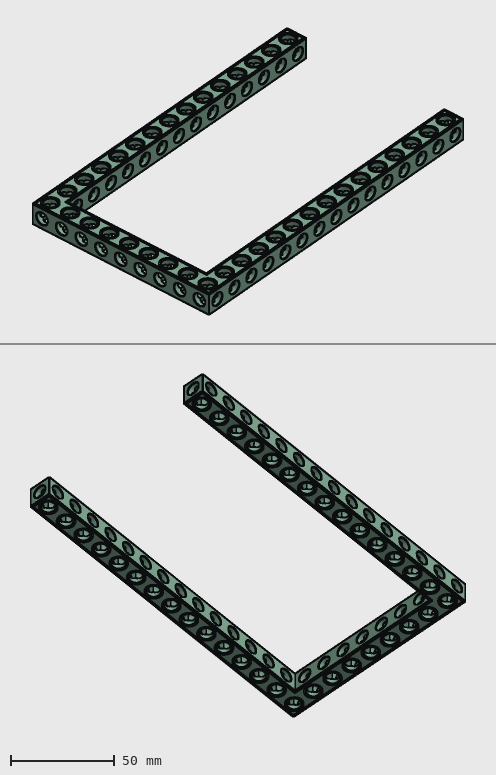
import cadquery as cq


length = 187.5
row_count = 15
column_count = 9
pitch = length / row_count
width = column_count * pitch
hole_diameter = 7.0
edge_chamfer = 0.32
recess_depth = 0.2
rim_width = 1.1
collar_diameter = 9.2

column_places = [(column + 0.5) * pitch for column in range(column_count)]
row_places = [(row + 0.5) * pitch for row in range(row_count)]
arm_places = [column_places[0], column_places[-1]]
base_place = row_places[0]
middle_of_beam = pitch / 2
upright_places = [(x, base_place) for x in column_places]
upright_places += [(x, y) for x in arm_places for y in row_places[1:]]


def u_frame(inset, bottom, height):
    """U-shaped plate, open toward +Y, with all its sides moved inward by the inset."""
    inner = pitch - inset
    outline = [
        (inset, inset),
        (width - inset, inset),
        (width - inset, length - inset),
        (width - inner, length - inset),
        (width - inner, inner),
        (inner, inner),
        (inner, length - inset),
        (inset, length - inset),
    ]
    return cq.Workplane("XY", origin=(0, 0, bottom)).polyline(outline).close().extrude(height)


def face_recess(bottom):
    """Shallow recess of one flat face, leaving a rim and a round collar at every hole."""
    collars = (
        cq.Workplane("XY", origin=(0, 0, bottom))
        .pushPoints(upright_places)
        .circle(collar_diameter / 2)
        .extrude(recess_depth)
    )
    return u_frame(rim_width, bottom, recess_depth).cut(collars)


def chamfered_hole_cutter(depth):
    """Cutter along +Z for a through hole with both of its mouths chamfered."""
    radius = hole_diameter / 2
    mouth_radius = radius + edge_chamfer
    profile = [
        (0, 0),
        (mouth_radius, 0),
        (radius, edge_chamfer),
        (radius, depth - edge_chamfer),
        (mouth_radius, depth),
        (0, depth),
    ]
    return cq.Workplane("XZ").polyline(profile).close().revolve(360, (0, 0, 0), (0, 1, 0))


def turned_to_x(cutter):
    """The cutter, turned from +Z to +X."""
    return cutter.rotate((0, 0, 0), (0, 1, 0), 90)


def turned_to_y(cutter):
    """The cutter, turned from +Z to +Y."""
    return cutter.rotate((0, 0, 0), (1, 0, 0), -90)


def drill(body, cutter, places):
    """Cut one copy of the cutter at each of the places."""
    copies = [cutter.val().moved(cq.Location(cq.Vector(*place))) for place in places]
    return body.cut(cq.Workplane(cq.Compound.makeCompound(copies)))


inner_corners = cq.selectors.BoxSelector(
    (middle_of_beam, middle_of_beam, 0),
    (width - middle_of_beam, pitch + middle_of_beam, pitch),
)
upright_edges = cq.selectors.ParallelDirSelector(cq.Vector(0, 0, 1))
body = u_frame(0, 0, pitch)
body = body.edges(upright_edges - inner_corners).chamfer(edge_chamfer)
body = body.faces("<Z or >Z").chamfer(edge_chamfer)

for recess_bottom in (0, pitch - recess_depth):
    body = body.cut(face_recess(recess_bottom))

short_cutter = chamfered_hole_cutter(pitch)
body = drill(body, short_cutter, [(x, y, 0) for x, y in upright_places])

arm_sides = [0, width - pitch]
arm_hole_places = [(x, y, middle_of_beam) for x in arm_sides for y in row_places[1:]]
body = drill(body, turned_to_x(short_cutter), arm_hole_places)
body = drill(body, turned_to_x(chamfered_hole_cutter(width)), [(0, base_place, middle_of_beam)])

base_hole_places = [(x, 0, middle_of_beam) for x in column_places[1:-1]]
body = drill(body, turned_to_y(short_cutter), base_hole_places)
arm_bore_places = [(x, 0, middle_of_beam) for x in arm_places]
body = drill(body, turned_to_y(chamfered_hole_cutter(length)), arm_bore_places)

result = body